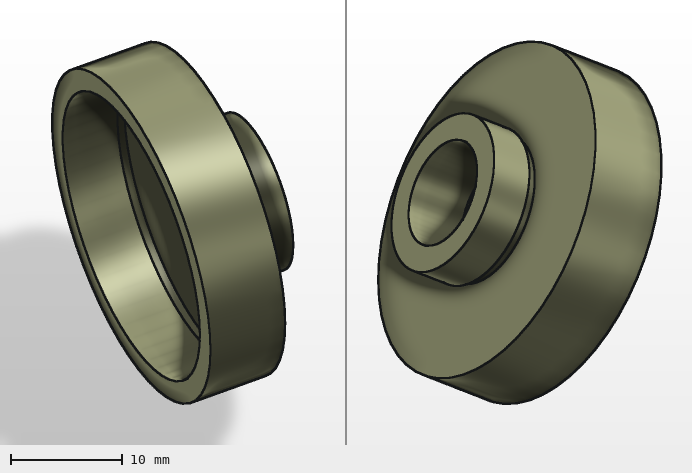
import cadquery as cq

cup_diameter = 31.75
cup_length = 7.5
recess_diameter = 27.5
floor_depth = 6.5
undercut_diameter = 28.7
undercut_width = 1.0
bore_diameter = 10.0
neck_diameter = 14.0
neck_length = 1.0
collar_diameter = 15.0
collar_length = 4.0

undercut_start = floor_depth - undercut_width
neck_start = cup_length
collar_start = neck_start + neck_length
total_length = collar_start + collar_length


def cylinder(diameter, start, length):
    """Cylinder about the Y axis, running from Y = start towards +Y."""
    base = cq.Workplane("XZ", origin=(0, start, 0))
    return base.circle(diameter / 2).extrude(-length)


body = cylinder(cup_diameter, 0, cup_length)
body = body.union(cylinder(neck_diameter, neck_start, neck_length))
body = body.union(cylinder(collar_diameter, collar_start, collar_length))

body = body.cut(cylinder(recess_diameter, 0, floor_depth))
body = body.cut(cylinder(undercut_diameter, undercut_start, undercut_width))
result = body.cut(cylinder(bore_diameter, 0, total_length))